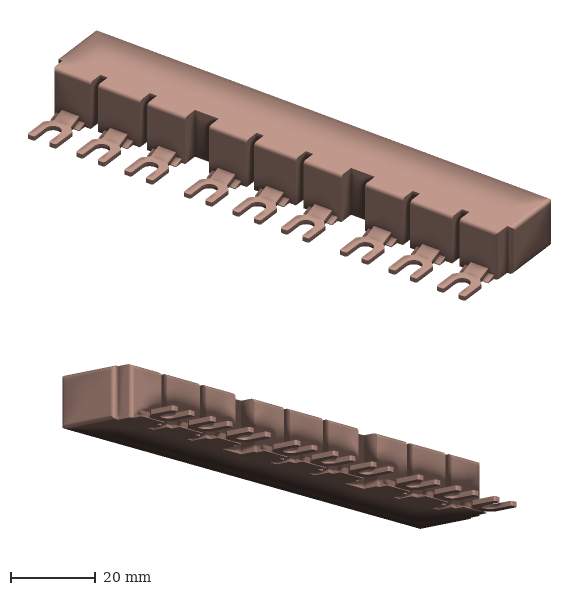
import cadquery as cq
import math


length = 131.5
height = 13.0
total_depth = 32.3
fork_reach = 12.0
lug_depth = 4.1
back_y = total_depth - fork_reach
block_depth = back_y - lug_depth
edge_radius = 1.0

group_count = 3
group_pitch = 45.0
fork_pitch = 14.0
group_centres = [(i - (group_count - 1) / 2) * group_pitch for i in range(group_count)]
fork_centres = [centre + offset * fork_pitch for centre in group_centres for offset in (-1, 0, 1)]

narrow_slot = 2.1
narrow_slot_offset = 7.1
wide_slot = 6.8
lug_row_length = group_count * group_pitch - wide_slot

thickness = 1.2
neck_width = 5.0
fork_width = 8.3
mouth_width = 4.1
mouth_bottom = 5.1
shoulder_start = 3.4
shoulder_end = 5.1
tip_radius = 0.5
bend_reach = 2.9
neck_rise = 1.12

ramp_width = fork_width
ramp_reach = 2.4


def cut_box(width, x):
    """Full-height block that opens one slot in the lug row."""
    return cq.Workplane("XY").box(width, lug_depth, height, centered=(True, False, False)).translate((x, 0, 0))


def make_lug_row():
    """Row of lugs, rounded along the top front edge and at both ends."""
    row = cq.Workplane("XY").box(lug_row_length, lug_depth, height, centered=(True, False, False))
    row = row.edges("(<Y and >Z) or (<Y and |Z)").fillet(edge_radius)
    for centre in group_centres:
        for side in (-1, 1):
            row = row.cut(cut_box(narrow_slot, centre + side * narrow_slot_offset))
    for gap in range(group_count - 1):
        row = row.cut(cut_box(wide_slot, group_centres[gap] + group_pitch / 2))
    return row


def make_ramp(x):
    """Sloped support that carries the underside of one neck."""
    end_height = neck_rise * (1 - ramp_reach / bend_reach)
    profile = [(0, 0), (0, neck_rise), (-ramp_reach, end_height), (-ramp_reach, 0)]
    return cq.Workplane("YZ").polyline(profile).close().extrude(ramp_width / 2, both=True).translate((x, 0, 0))


def make_plain_block():
    """Main block with square edges, resting on Z = 0 behind the lugs."""
    block = cq.Workplane("XY").box(length, block_depth, height, centered=(True, False, False))
    return block.translate((0, lug_depth, 0))


def make_block():
    """Main block rounded at the back and both ends; the roundings meet in mitres.

    Each copy is rounded along one axis only, so their overlap keeps sharp
    mitre lines at the corners.
    """
    round_along_x = make_plain_block().faces(">Y").edges("|X").fillet(edge_radius)
    round_along_y = make_plain_block().edges("|Y").fillet(edge_radius)
    round_along_z = make_plain_block().edges("|Z").fillet(edge_radius)
    return round_along_x.intersect(round_along_y).intersect(round_along_z)


def make_housing():
    """Main block with its lugs and ramps."""
    housing = make_block().union(make_lug_row())
    for x in fork_centres:
        housing = housing.union(make_ramp(x))
    return housing.solids()


def make_side_profile():
    """Strip bent once: down the slope of the ramp, then flat to the tips."""
    slope = math.atan2(neck_rise, bend_reach)
    neck_top = neck_rise + thickness / math.cos(slope)
    top_bend = bend_reach + thickness * math.tan(slope / 2)
    points = [
        (0, neck_rise),
        (0, neck_top),
        (-top_bend, thickness),
        (-fork_reach, thickness),
        (-fork_reach, 0),
        (-bend_reach, 0),
    ]
    return cq.Workplane("YZ").polyline(points).close().extrude(fork_width / 2, both=True)


def make_plan():
    """Neck, sloped shoulders and a two-pronged fork, as an upright prism."""
    neck = neck_width / 2
    outer = fork_width / 2
    inner = mouth_width / 2
    mouth_arc_y = -(mouth_bottom + inner)
    outline = (
        cq.Workplane("XY")
        .moveTo(-neck, 0)
        .lineTo(-neck, -shoulder_start)
        .lineTo(-outer, -shoulder_end)
        .lineTo(-outer, -fork_reach)
        .lineTo(-inner, -fork_reach)
        .lineTo(-inner, mouth_arc_y)
        .threePointArc((0, -mouth_bottom), (inner, mouth_arc_y))
        .lineTo(inner, -fork_reach)
        .lineTo(outer, -fork_reach)
        .lineTo(outer, -shoulder_end)
        .lineTo(neck, -shoulder_start)
        .lineTo(neck, 0)
        .close()
        .extrude(height)
    )
    return outline.faces("<Y").edges("|Z").fillet(tip_radius)


def make_terminal(x):
    """One fork terminal, starting at the lug front."""
    return make_side_profile().intersect(make_plan()).translate((x, 0, 0)).solids()


housing = make_housing()
terminals = [make_terminal(x) for x in fork_centres]

result = cq.Compound.makeCompound([housing.val(), *[terminal.val() for terminal in terminals]])